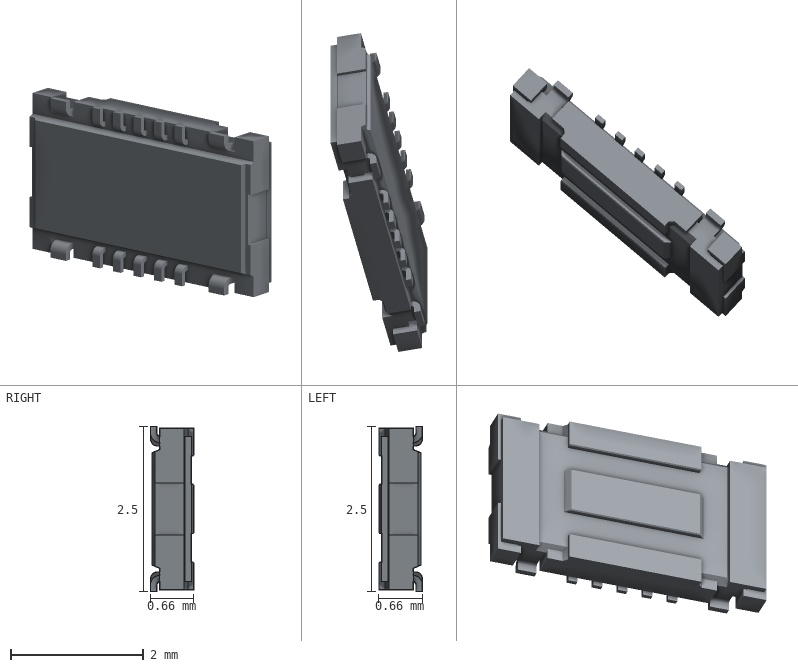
import cadquery as cq

length = 4.3
body_height = 2.445
pin_span = 2.5
half_length = length / 2
half_height = body_height / 2
half_span = pin_span / 2

front_face = 0.02
rim_face = 0.07
body_front = 0.138
body_back = 0.507
ledge_back = 0.568
plate_back = 0.62
pad_back = 0.66

panel_base_half = 0.9
panel_top_half = 0.845
panel_rim_half = panel_base_half - (panel_base_half - panel_top_half) * (
    (body_front - rim_face) / (body_front - front_face)
)
rim_width = 0.1
panel_side_slope = 0.05

end_recess_depth = 0.047
end_recess_height = 0.785

notch_start = 0.365
notch_width = 0.43
notch_depth = 0.232
notch_center = half_length - notch_start - notch_width / 2

sheet = 0.1
sheet_seat_start = 0.32
plate_inset = 0.045
plate_inner = 0.625
leg_recess = 0.125
leg_top = half_height - leg_recess
leg_front = 0.26
leg_back = 0.465
tab_width = 0.3
tab_start = 0.46
tab_center = half_length - tab_start - tab_width / 2
tab_inner_radius = 0.05

pin_count = 5
pin_pitch = 0.4
pin_width = 0.145
pin_thickness = 0.075
pin_inner_radius = 0.04
pin_stem_top = 1.025
pin_embed = 0.045

ledge_bevel = ledge_back - leg_back
ledge_bevel_angle = 45.0
ledge_end_inset = 0.655
ledge_half_length = half_length - ledge_end_inset + ledge_bevel
strip_end_inset = 1.095
strip_half_length = half_length - strip_end_inset
strip_bevel = ledge_back - body_back
strip_height = 0.42
middle_pad_inset = 1.03
middle_pad_half_length = half_length - middle_pad_inset
middle_pad_half_height = 0.375
middle_pad_bevel = pad_back - ledge_back
pad_edge_chamfer = 0.017


def block(x_min, x_max, y_min, y_max, z_min, z_max):
    """Axis-aligned box given by its limits."""
    corner = cq.Vector(x_min, y_min, z_min)
    return cq.Workplane(cq.Solid.makeBox(x_max - x_min, y_max - y_min, z_max - z_min, corner))


def both_ends(shape):
    """Shape together with its mirror image at the other end of the part."""
    return shape.union(shape.mirror("YZ"))


def both_rows(shape):
    """Shape together with its mirror image on the other long side."""
    return shape.union(shape.mirror("XY"))


def main_body():
    body = block(-half_length, half_length, body_front, body_back, -half_height, half_height)
    notch = block(
        notch_center - notch_width / 2, notch_center + notch_width / 2,
        body_front, body_back, half_height - notch_depth, half_height,
    )
    return body.cut(both_rows(both_ends(notch)))


def front_panel():
    """Full-length tapered panel with a bevelled step down to a rim at each end."""
    slopes = (
        cq.Workplane("YZ")
        .polyline([
            (body_front, -panel_base_half),
            (front_face, -panel_top_half),
            (front_face, panel_top_half),
            (body_front, panel_base_half),
        ])
        .close()
        .extrude(half_length, both=True)
    )
    bevel_start = half_length - rim_width
    end_step = (
        cq.Workplane("XY")
        .polyline([
            (half_length, rim_face),
            (bevel_start, rim_face),
            (bevel_start - panel_side_slope, front_face),
            (half_length, front_face),
        ])
        .close()
        .extrude(panel_rim_half, both=True)
    )
    return slopes.cut(both_ends(end_step))


def end_recesses():
    half_recess = end_recess_height / 2
    recess = block(
        half_length - end_recess_depth, half_length,
        front_face, body_back, -half_recess, half_recess,
    )
    return both_ends(recess)


def back_ledge():
    """Slab behind the body with all four back edges bevelled."""
    return (
        cq.Workplane("XZ", origin=(0, leg_back, 0))
        .rect(2 * ledge_half_length, 2 * leg_top)
        .extrude(-ledge_bevel, taper=ledge_bevel_angle)
    )


def back_strips():
    """Long-side strips on the back that flare in from the body to the pad height."""
    flare = strip_half_length + strip_bevel
    strip = (
        cq.Workplane("XY", origin=(0, 0, half_height - strip_height))
        .polyline([
            (-flare, body_back),
            (flare, body_back),
            (strip_half_length, ledge_back),
            (strip_half_length, pad_back),
            (-strip_half_length, pad_back),
            (-strip_half_length, ledge_back),
        ])
        .close()
        .extrude(strip_height)
        .edges(">Y and <Z")
        .chamfer(pad_edge_chamfer)
    )
    return both_rows(strip)


def middle_pad():
    top_half_length = middle_pad_half_length - middle_pad_bevel
    return (
        cq.Workplane("XY")
        .polyline([
            (-middle_pad_half_length, ledge_back),
            (middle_pad_half_length, ledge_back),
            (top_half_length, pad_back),
            (-top_half_length, pad_back),
        ])
        .close()
        .extrude(middle_pad_half_height, both=True)
        .edges(">Y and (<Z or >Z)")
        .chamfer(pad_edge_chamfer)
    )


def bent_pin(x_center, width, thickness, inner_radius, stem_top, stem_end):
    """Pin that leaves the body along Y and bends outwards to a foot on the seating plane."""
    outer_radius = thickness + inner_radius
    stem_bottom = stem_top - thickness
    bend_end = stem_top + inner_radius
    return (
        cq.Workplane("YZ", origin=(x_center - width / 2, 0, 0))
        .moveTo(stem_end, stem_bottom)
        .lineTo(outer_radius, stem_bottom)
        .radiusArc((0, bend_end), outer_radius)
        .lineTo(0, half_span)
        .lineTo(thickness, half_span)
        .lineTo(thickness, bend_end)
        .radiusArc((outer_radius, stem_top), -inner_radius)
        .lineTo(stem_end, stem_top)
        .close()
        .extrude(width)
    )


def signal_pins():
    row = cq.Workplane("XY")
    for index in range(pin_count):
        x_center = (index - (pin_count - 1) / 2) * pin_pitch
        row = row.add(
            bent_pin(
                x_center, pin_width, pin_thickness, pin_inner_radius,
                pin_stem_top, body_front + pin_embed,
            )
        )
    return both_rows(row.combine())


def end_terminals():
    """Cover plate on the back of each end, with a leg and a bent tab in both notches."""
    plate = block(
        half_length - plate_inner, half_length - plate_inset,
        plate_back - sheet, plate_back, -leg_top, leg_top,
    )
    seat = block(
        half_length - plate_inner, half_length - sheet_seat_start,
        body_back, plate_back, -leg_top, leg_top,
    )
    leg = block(
        notch_center - notch_width / 2, notch_center + notch_width / 2,
        leg_front, leg_back, leg_top - sheet, leg_top,
    )
    leg_root = block(
        half_length - plate_inner, half_length - notch_start,
        leg_front, plate_back, leg_top - sheet, leg_top,
    )
    tab = bent_pin(tab_center, tab_width, sheet, tab_inner_radius, leg_top, leg_front)
    legs = both_rows(leg.union(leg_root).union(tab))
    return both_ends(plate.union(seat).union(legs))


result = (
    main_body()
    .union(front_panel())
    .cut(end_recesses())
    .union(back_ledge())
    .union(back_strips())
    .union(middle_pad())
    .union(end_terminals())
    .union(signal_pins())
)